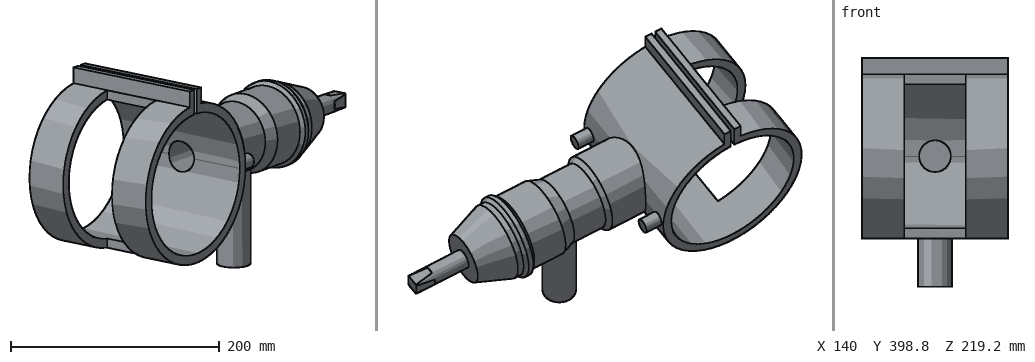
import cadquery as cq

overall_length = 398.8

ring_length = 140.0
ring_radius = 79.0
bore_radius = 69.8
ear_top = 94.0
ear_thickness = 7.0
slit_width = 4.0
window_width = 58.5
window_edge_y = -9.5

body_radius = 39.0
neck_radius = 34.3
nose_radius = 25.5
bead_radius = 42.5
shoulder_y = 117.0
shoulder_chamfer = body_radius - neck_radius
neck_end_y = 157.0
barrel_start_y = 170.3
bead_start_y = 205.8
bead_end_y = 218.0
bead_chamfer = bead_radius - body_radius
cone_start_y = 224.5
nose_y = 261.5

spindle_radius = 9.5
spindle_tip_y = overall_length - ring_radius
square_start_y = 300.0
square_tip_half = 7.0
square_base_half = 8.8

pipe_radius = 16.5
pipe_y = 152.5
pipe_bottom_z = -125.2
pin_radius = 7.0
pin_spacing = 120.0
pin_end_y = 96.0
port_radius = 15.0
port_end_y = shoulder_y


def cylinder_along_y(radius, start_y, end_y, x=0):
    return cq.Workplane(cq.Solid.makeCylinder(
        radius, end_y - start_y, cq.Vector(x, start_y, 0), cq.Vector(0, 1, 0)))


def make_clamp_ring():
    ring = cq.Workplane("YZ").circle(ring_radius).extrude(ring_length / 2, both=True)
    ears_width = slit_width + 2 * ear_thickness
    ears = cq.Workplane("XY").box(ring_length, ears_width, ear_top, centered=(True, True, False))
    return ring.union(ears)


def make_body():
    profile = [
        (0, 0),
        (body_radius, 0),
        (body_radius, shoulder_y),
        (neck_radius, shoulder_y + shoulder_chamfer),
        (neck_radius, neck_end_y),
        (body_radius, barrel_start_y),
        (body_radius, bead_start_y),
        (bead_radius, bead_start_y + bead_chamfer),
        (bead_radius, bead_end_y - bead_chamfer),
        (body_radius, bead_end_y),
        (body_radius, cone_start_y),
        (nose_radius, nose_y),
        (0, nose_y),
    ]
    return cq.Workplane("XY").polyline(profile).close().revolve(360, (0, 0, 0), (0, 1, 0))


def make_spindle():
    round_shaft = cylinder_along_y(spindle_radius, nose_y, square_start_y)
    square_length = spindle_tip_y - square_start_y
    tapered_square = (
        cq.Workplane("XZ", origin=(0, spindle_tip_y, 0))
        .rect(2 * square_tip_half, 2 * square_tip_half)
        .workplane(offset=square_length)
        .rect(2 * square_base_half, 2 * square_base_half)
        .loft(ruled=True)
    )
    tip = cylinder_along_y(spindle_radius, square_start_y, spindle_tip_y).intersect(tapered_square)
    return round_shaft.union(tip)


def make_branch_pipe():
    return cq.Workplane("XY").center(0, pipe_y).circle(pipe_radius).extrude(pipe_bottom_z)


def cut_openings(solid):
    bore = cq.Workplane("YZ").circle(bore_radius).extrude(ring_length, both=True)
    slit = cq.Workplane("XY").box(
        2 * ring_length, slit_width, 2 * ear_top, centered=(True, True, False))
    window_depth = 2 * ring_radius
    window = cq.Workplane("XY").box(window_width, window_depth, 2 * ear_top).translate(
        (0, window_edge_y - window_depth / 2, 0))
    port = cylinder_along_y(port_radius, 0, port_end_y)
    return solid.cut(bore).cut(slit).cut(window).cut(port)


solid = make_clamp_ring().union(make_body()).union(make_branch_pipe())
for side in (-1, 1):
    solid = solid.union(cylinder_along_y(pin_radius, 0, pin_end_y, side * pin_spacing / 2))
result = cut_openings(solid).union(make_spindle())